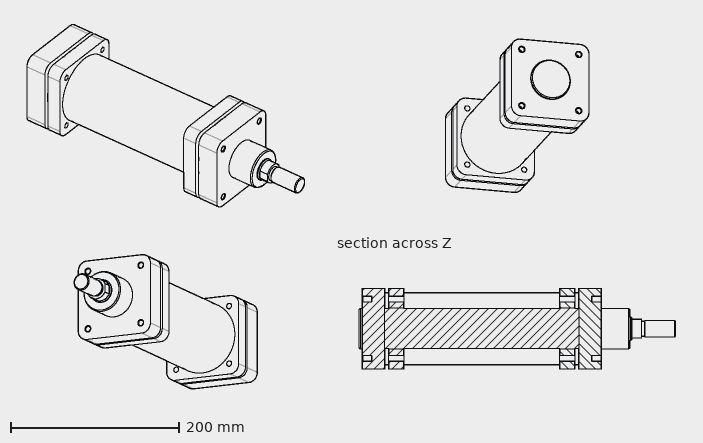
import cadquery as cq
import math

overall_length = 376.0
rear_boss_length = 3.8
cap_thickness = 27.0
cap_gap = 4.5
flange_thickness = 18.0
front_cap_end = 288.0
front_boss_length = 34.0
lip_length = 2.5
rod_shoulder = 335.8
thread_start = 340.0

rear_cap_inner = rear_boss_length + cap_thickness
front_cap_inner = front_cap_end - cap_thickness
rear_flange_start = rear_cap_inner + cap_gap
front_flange_start = front_cap_inner - cap_gap - flange_thickness
front_boss_end = front_cap_end + front_boss_length

plate_side = 96.0
corner_radius = 11.3
hole_spacing = 70.5
hole_diameter = 6.5
hole_chamfer = 0.8
cap_hole_depth = 11.3

tube_diameter = 85.7
boss_diameter = 48.5
boss_chamfer_length = 2.0
boss_chamfer_height = 1.0
lip_diameter = 27.5
lip_rim_length = 1.0
rod_diameter = 25.0
neck_diameter = 18.0
thread_diameter = 20.0
thread_chamfer = 1.0
flat_width = 22.5
flat_start = front_boss_end + lip_length


def cylinder(start, length, diameter):
    """Solid cylinder along X."""
    return cq.Workplane("YZ", origin=(start, 0, 0)).circle(diameter / 2).extrude(length)


def plate(start, length):
    """Square plate with rounded corners, centred on the X axis."""
    return (
        cq.Workplane("YZ", origin=(start, 0, 0))
        .rect(plate_side, plate_side)
        .extrude(length)
        .edges("|X")
        .fillet(corner_radius)
    )


def at_corners(tool):
    """Four copies of a tool lying on the X axis, one at each corner hole position."""
    copies = cq.Workplane("XY")
    for y_side in (-1, 1):
        for z_side in (-1, 1):
            copies = copies.add(tool.translate((0, y_side * hole_spacing / 2, z_side * hole_spacing / 2)))
    return copies.combine()


def revolved(profile):
    """Solid of revolution about X from (x, radius) points that start and end on the axis."""
    return cq.Workplane("XY").polyline(profile).close().revolve(360, (0, 0, 0), (1, 0, 0))


def cap_holes(face, inward):
    """Blind chamfered holes sunk from X = face; inward is the drilling sign along X."""
    radius = hole_diameter / 2
    bottom = face + inward * cap_hole_depth
    hole = revolved([
        (face, 0),
        (face, radius + hole_chamfer),
        (face + inward * hole_chamfer, radius),
        (bottom, radius),
        (bottom, 0),
    ])
    return at_corners(hole)


def boss(base, end):
    """Round boss from X = base to a chamfered outer face at X = end."""
    outward = math.copysign(1, end - base)
    radius = boss_diameter / 2
    return revolved([
        (base, 0),
        (base, radius),
        (end - outward * boss_chamfer_length, radius),
        (end, radius - boss_chamfer_height),
        (end, 0),
    ])


def make_rear_cap():
    """Rear end cap with a low boss."""
    body = plate(rear_boss_length, cap_thickness).union(boss(rear_boss_length, 0))
    return body.cut(cap_holes(rear_boss_length, 1))


def make_front_cap():
    """Front end cap with the long boss, its wiper lip and the rod bore."""
    lip_end = front_boss_end + lip_length
    lip = revolved([
        (front_boss_end, 0),
        (front_boss_end, lip_diameter / 2),
        (front_boss_end + lip_rim_length, lip_diameter / 2),
        (lip_end, rod_diameter / 2),
        (lip_end, 0),
    ])
    body = plate(front_cap_inner, cap_thickness).union(boss(front_cap_end, front_boss_end)).union(lip)
    rod_bore = cylinder(front_cap_inner, lip_end - front_cap_inner, rod_diameter)
    return body.cut(rod_bore).cut(cap_holes(front_cap_end, -1))


def make_flange(start):
    """Tube flange with a bore for the tube and plain through holes."""
    tube_bore = cylinder(start, flange_thickness, tube_diameter)
    holes = at_corners(cylinder(start, flange_thickness, hole_diameter))
    return plate(start, flange_thickness).cut(tube_bore).cut(holes)


def make_tube():
    """Barrel that passes through both flanges and butts against the caps."""
    return cylinder(rear_cap_inner, front_cap_inner - rear_cap_inner, tube_diameter)


def make_rod():
    """Piston rod with wrench flats, a neck and a chamfered thread end."""
    rod_radius = rod_diameter / 2
    neck_radius = neck_diameter / 2
    thread_radius = thread_diameter / 2
    neck_taper = thread_radius - neck_radius
    rod = revolved([
        (front_cap_inner, 0),
        (front_cap_inner, rod_radius),
        (rod_shoulder, rod_radius),
        (rod_shoulder, neck_radius),
        (thread_start - neck_taper, neck_radius),
        (thread_start, thread_radius),
        (overall_length - thread_chamfer, thread_radius),
        (overall_length, thread_radius - thread_chamfer),
        (overall_length, 0),
    ])
    flat_length = rod_shoulder - flat_start
    for side in (-1, 1):
        cutter_centre = (flat_start + flat_length / 2, side * (flat_width + rod_diameter) / 2, 0)
        cutter = cq.Workplane("XY").box(flat_length, rod_diameter, rod_diameter)
        rod = rod.cut(cutter.translate(cutter_centre))
    return rod


rear_cap = make_rear_cap()
front_cap = make_front_cap()
flanges = [make_flange(start) for start in (rear_flange_start, front_flange_start)]
tube = make_tube()
rod = make_rod()

result = cq.Compound.makeCompound(
    [rear_cap.val(), front_cap.val(), *[flange.val() for flange in flanges], tube.val(), rod.val()]
)